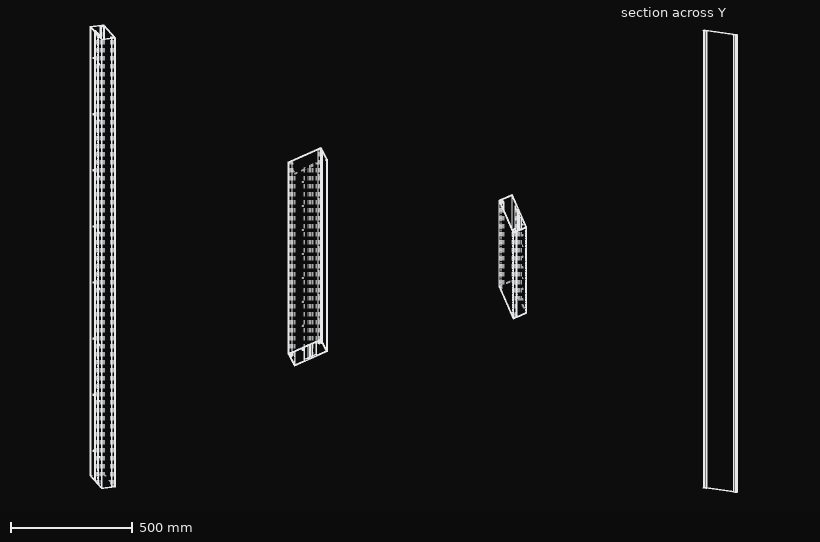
import cadquery as cq

length = 2000.0
width = 150.0
height = 60.0

wall = 3.0
skirt_depth = 15.0
rim_width = 12.0
rim_overhang = 2.0
rail_span = 55.0
rail_width = 15.0
rail_height = 5.0
rail_lip = 2.0
rail_lip_width = 8.0

hole_diameter = 5.0
hole_column_spacing = 72.0
hole_rows = 8
hole_pitch = length / hole_rows

half_width = width / 2
front = -height / 2
back = height / 2
seam = back - skirt_depth
cover_underside = back - wall
rim_bottom = seam - rim_overhang


def fixing_holes():
    """Round cutters through the floor, one pair in the middle of each pitch."""
    return (
        cq.Workplane("XZ", origin=(0, front, length / 2))
        .rarray(hole_column_spacing, hole_pitch, 2, hole_rows)
        .circle(hole_diameter / 2)
        .extrude(-wall)
    )


def make_base():
    """Open channel with two lipped rails on the floor and hooked rims inside the skirts."""
    wall_inner = half_width - wall
    neck_inner = wall_inner - wall
    rim_inner = wall_inner - rim_width
    floor = front + wall
    rail_outer = rail_span / 2
    rail_stem = rail_outer - rail_width
    rail_inner = rail_stem - rail_lip_width
    right_half = [
        (half_width, front),
        (half_width, seam),
        (wall_inner, seam),
        (wall_inner, cover_underside),
        (rim_inner, cover_underside),
        (rim_inner, rim_bottom),
        (rim_inner + wall, rim_bottom),
        (rim_inner + wall, cover_underside - wall),
        (neck_inner, cover_underside - wall),
        (neck_inner, seam - wall),
        (wall_inner, seam - wall),
        (wall_inner, floor),
        (rail_outer, floor),
        (rail_outer, floor + rail_height),
        (rail_inner, floor + rail_height),
        (rail_inner, floor + rail_height - rail_lip),
        (rail_stem, floor + rail_height - rail_lip),
        (rail_stem, floor),
    ]
    left_half = [(-x, y) for x, y in reversed(right_half)]
    section = cq.Workplane("XY").polyline(right_half + left_half).close()
    return section.extrude(length).cut(fixing_holes())


def make_cover():
    """Flat lid with a short skirt along each side."""
    skirt_inner = half_width - wall
    section = cq.Workplane("XY").polyline([
        (-half_width, seam),
        (-half_width, back),
        (half_width, back),
        (half_width, seam),
        (skirt_inner, seam),
        (skirt_inner, cover_underside),
        (-skirt_inner, cover_underside),
        (-skirt_inner, seam),
    ]).close()
    return section.extrude(length)


base = make_base()
cover = make_cover()

result = cq.Compound.makeCompound([base.val(), cover.val()])